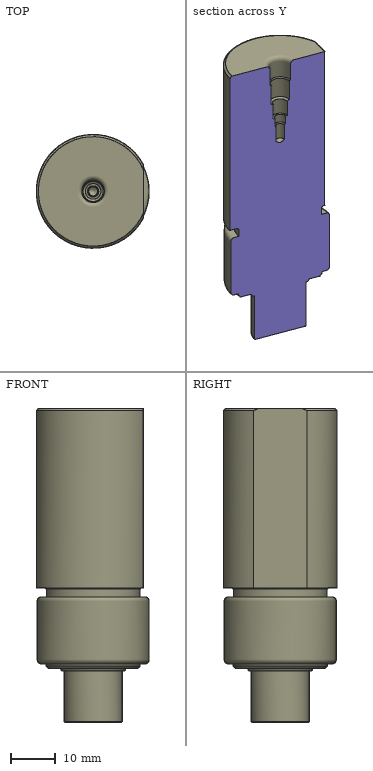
import cadquery as cq
import math

TOTAL_HEIGHT = 70.0
SLEEVE_LENGTH = 40.0
SLEEVE_BOTTOM = TOTAL_HEIGHT - SLEEVE_LENGTH
NECK_LENGTH = 2.0
COLLAR_TOP = SLEEVE_BOTTOM - NECK_LENGTH
COLLAR_LENGTH = 15.0
COLLAR_BOTTOM = COLLAR_TOP - COLLAR_LENGTH
SHOULDER_LENGTH = 1.0
SHAFT_LENGTH = COLLAR_BOTTOM - SHOULDER_LENGTH

SLEEVE_RADIUS = 25.4 / 2
SLEEVE_TOP_CHAMFER = 0.5
FLAT_DISTANCE = 11.2

NECK_RADIUS = 20.92 / 2
NECK_TOP_CHAMFER = 0.3
COLLAR_RADIUS = 25.0 / 2
COLLAR_FILLET = 1.0
SHOULDER_RADIUS = 21.0 / 2
SHOULDER_CHAMFER = 0.55
SHAFT_RADIUS = 13.0 / 2
ROOT_RING_RADIUS = 14.5 / 2
ROOT_RING_HEIGHT = 0.6
ROOT_RING_FILLET = 0.55
SHAFT_TIP_CHAMFER = 0.2

MOUTH_FILLET = 1.0
DRILL_HALF_ANGLE = 59.0
STEP_HALF_ANGLE = 45.0
FLAT_HALF_ANGLE = 90.0
BORE_STEPS = (
    (5.0, 5.0, STEP_HALF_ANGLE),
    (4.5, 10.0, DRILL_HALF_ANGLE),
    (3.46, 14.0, FLAT_HALF_ANGLE),
    (2.5, 16.0, STEP_HALF_ANGLE),
    (2.0, 20.0, DRILL_HALF_ANGLE),
)


def cylinder(radius, bottom, top):
    return cq.Workplane("XY").workplane(offset=bottom).circle(radius).extrude(top - bottom)


def make_sleeve():
    sleeve = cylinder(SLEEVE_RADIUS, SLEEVE_BOTTOM, TOTAL_HEIGHT)
    sleeve = sleeve.faces(">Z").edges().chamfer(SLEEVE_TOP_CHAMFER)
    kept_width = SLEEVE_RADIUS + FLAT_DISTANCE
    kept_block = (
        cq.Workplane("XY")
        .box(kept_width, 2 * SLEEVE_RADIUS, TOTAL_HEIGHT, centered=(False, True, False))
        .translate((-SLEEVE_RADIUS, 0, 0))
    )
    return sleeve.intersect(kept_block)


def make_neck():
    neck = cylinder(NECK_RADIUS, COLLAR_TOP, SLEEVE_BOTTOM)
    flare = (
        cq.Workplane("XZ")
        .moveTo(0, SLEEVE_BOTTOM - NECK_TOP_CHAMFER)
        .lineTo(NECK_RADIUS, SLEEVE_BOTTOM - NECK_TOP_CHAMFER)
        .lineTo(NECK_RADIUS + NECK_TOP_CHAMFER, SLEEVE_BOTTOM)
        .lineTo(0, SLEEVE_BOTTOM)
        .close()
        .revolve(360, (0, 0, 0), (0, 1, 0))
    )
    return neck.union(flare)


def make_collar():
    collar = cylinder(COLLAR_RADIUS, COLLAR_BOTTOM, COLLAR_TOP)
    return collar.edges("%CIRCLE").fillet(COLLAR_FILLET)


def make_shoulder():
    shoulder = cylinder(SHOULDER_RADIUS, SHAFT_LENGTH, COLLAR_BOTTOM)
    return shoulder.faces("<Z").edges().chamfer(SHOULDER_CHAMFER)


def make_root_ring():
    ring = cylinder(ROOT_RING_RADIUS, SHAFT_LENGTH - ROOT_RING_HEIGHT, SHAFT_LENGTH)
    return ring.faces("<Z").edges().fillet(ROOT_RING_FILLET)


def make_shaft():
    shaft = cylinder(SHAFT_RADIUS, 0, SHAFT_LENGTH)
    return shaft.faces("<Z").edges().chamfer(SHAFT_TIP_CHAMFER)


def make_bore():
    mouth_radius = BORE_STEPS[0][0] / 2
    outline = (
        cq.Workplane("XZ")
        .moveTo(0, TOTAL_HEIGHT)
        .lineTo(mouth_radius + MOUTH_FILLET, TOTAL_HEIGHT)
        .radiusArc((mouth_radius, TOTAL_HEIGHT - MOUTH_FILLET), -MOUTH_FILLET)
    )
    next_radii = [diameter / 2 for diameter, _, _ in BORE_STEPS[1:]] + [0]
    for (diameter, depth, half_angle), next_radius in zip(BORE_STEPS, next_radii):
        radius = diameter / 2
        wall_end = TOTAL_HEIGHT - depth
        floor_drop = (radius - next_radius) / math.tan(math.radians(half_angle))
        outline = outline.lineTo(radius, wall_end).lineTo(next_radius, wall_end - floor_drop)
    return outline.close().revolve(360, (0, 0, 0), (0, 1, 0))


body = make_sleeve()
for section in (make_neck(), make_collar(), make_shoulder(), make_root_ring(), make_shaft()):
    body = body.union(section)
result = body.cut(make_bore())